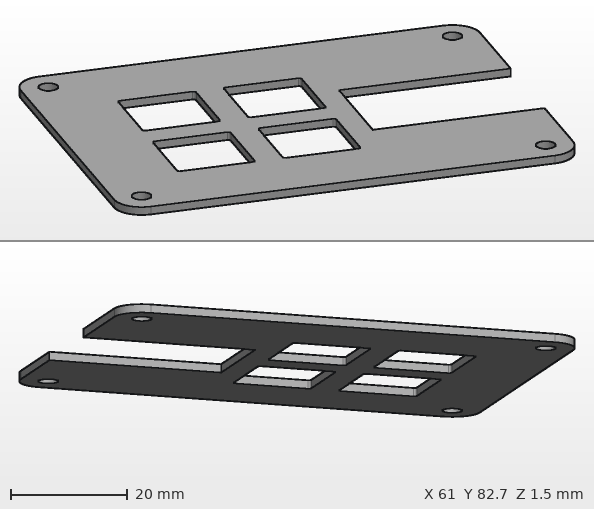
import cadquery as cq

plate_width = 61.0
plate_length = 82.7
plate_thickness = 1.5
corner_radius = 5.0

hole_diameter = 3.4
hole_spacing_x = plate_width - 2 * corner_radius
hole_spacing_y = plate_length - 2 * corner_radius

cutout_center_x = 0.6

window_size = 14.0
window_pitch = 19.0
window_corner_radius = 0.5
windows_per_side = 2
window_grid_center_y = -10.6

notch_width = 18.5
notch_depth = 30.9


def make_plate():
    """Flat rectangular plate with rounded corners, resting on Z = 0."""
    plate = cq.Workplane("XY").box(
        plate_width, plate_length, plate_thickness, centered=(True, True, False)
    )
    return plate.edges("|Z").fillet(corner_radius)


def make_mounting_holes():
    """One through-hole cutter at each corner of the plate."""
    return (
        cq.Workplane("XY")
        .rect(hole_spacing_x, hole_spacing_y, forConstruction=True)
        .vertices()
        .circle(hole_diameter / 2)
        .extrude(plate_thickness)
    )


def make_key_windows():
    """Grid of square through cutters with slightly rounded corners."""
    return (
        cq.Workplane("XY")
        .center(cutout_center_x, window_grid_center_y)
        .rarray(window_pitch, window_pitch, windows_per_side, windows_per_side)
        .rect(window_size, window_size)
        .extrude(plate_thickness)
        .edges("|Z")
        .fillet(window_corner_radius)
    )


def make_notch():
    """Sharp-cornered rectangular cutter reaching in from the +Y edge."""
    notch_center_y = (plate_length - notch_depth) / 2
    return (
        cq.Workplane("XY")
        .center(cutout_center_x, notch_center_y)
        .rect(notch_width, notch_depth)
        .extrude(plate_thickness)
    )


result = make_plate().cut(make_mounting_holes()).cut(make_key_windows()).cut(make_notch())